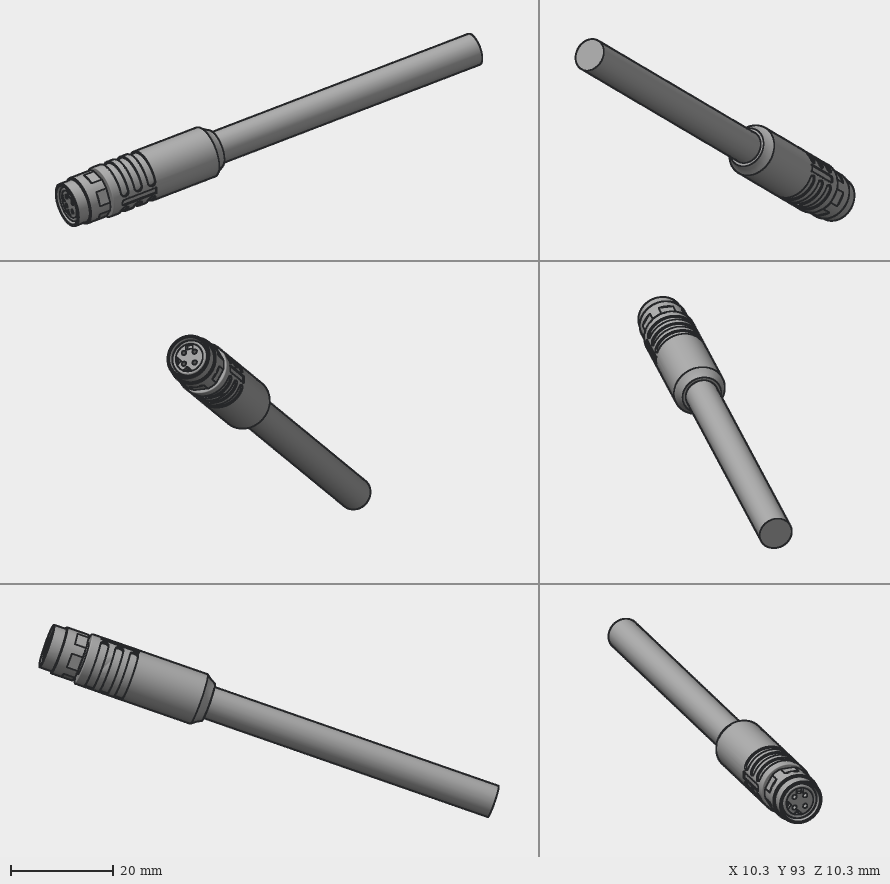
import cadquery as cq

total_length = 93.05
cable_dia = 6.5
neck_dia = cable_dia

collar_front = 2.5
flat_front = 4.7
collar_rear = 7.1
body_front = 7.6
shoulder = 31.7
body_rear = 33.7

nose_dia = 8.8
collar_dia = 9.6
body_dia = 10.3
tail_dia = 7.8
body_edge_round = 0.2
tail_flare = 0.1
collar_chamfer = 0.14
nose_chamfer = 0.1

mouth_dia = 8.0
bore_dia = 7.2
lead_in_depth = 0.8
insert_dia = 5.7
insert_depth = 0.6
bead_height = 0.23

contact_dia = 0.9
contact_pitch = 2.2
contact_depth = 2.8
coding_depth = 0.9
key_width = 1.4
key_floor = 1.8
notch_apex = 1.8
notch_offset = 0.5
notch_size = 0.8

flat_count = 6
flat_apothem = 4.6

groove_floor_dia = 9.7
groove_width = 1.7
groove_pitch = 3.1
groove_count = 3
first_groove = 10.4
groove_end = 1.3
side_slot_width = 1.4
side_slot_front = first_groove - groove_width / 2
side_slot_rear = first_groove + (groove_count - 1) * groove_pitch + groove_width / 2
side_slot_round = 0.6

outer_reach = body_dia


def block(x_range, y_range, z_range):
    """Box spanning the given (low, high) range on each axis."""
    ranges = (x_range, y_range, z_range)
    sizes = [high - low for low, high in ranges]
    middles = tuple((low + high) / 2 for low, high in ranges)
    return cq.Workplane("XY").box(*sizes).translate(middles)


def front_plane(y):
    """Plane facing the mouth side at station y: local x is X, local y is Z."""
    return cq.Workplane("XZ", origin=(0, y, 0))


def turned_solid():
    """Revolve the half section of cable, body, collar, nose and socket mouth."""
    bead_radius = (insert_dia + bore_dia) / 4
    half_section = (
        cq.Workplane("XY")
        .moveTo(0, insert_depth)
        .lineTo(insert_dia / 2, insert_depth)
        .threePointArc((bead_radius, insert_depth - bead_height), (bore_dia / 2, lead_in_depth))
        .lineTo(mouth_dia / 2, 0)
        .lineTo(nose_dia / 2 - nose_chamfer, 0)
        .lineTo(nose_dia / 2, nose_chamfer)
        .lineTo(nose_dia / 2, collar_front)
        .lineTo(collar_dia / 2 - collar_chamfer, collar_front)
        .lineTo(collar_dia / 2, collar_front + collar_chamfer)
        .lineTo(collar_dia / 2, collar_rear)
        .lineTo(neck_dia / 2, collar_rear)
        .lineTo(neck_dia / 2, body_front)
        .lineTo(body_dia / 2 - body_edge_round, body_front)
        .tangentArcPoint((body_dia / 2, body_front + body_edge_round), relative=False)
        .lineTo(body_dia / 2, shoulder)
        .sagittaArc((tail_dia / 2, body_rear), tail_flare)
        .lineTo(cable_dia / 2, body_rear)
        .lineTo(cable_dia / 2, total_length)
        .lineTo(0, total_length)
        .close()
    )
    return half_section.revolve(360, (0, 0, 0), (0, 1, 0))


def wrench_flats():
    """Six flats milled into the rear half of the collar."""
    half_width = collar_dia / 4
    flat = block((-half_width, half_width), (flat_front, collar_rear), (flat_apothem, collar_dia))
    flats = cq.Workplane("XY")
    for i in range(flat_count):
        flats = flats.add(flat.rotate((0, 0, 0), (0, 1, 0), i * 360 / flat_count))
    return flats.combine()


def grip_grooves():
    """Shallow round-ended grooves over the top and bottom, plus a flat slot on each side."""
    ring_length = side_slot_rear - side_slot_front
    ring = (
        front_plane(side_slot_rear)
        .circle(outer_reach)
        .circle(groove_floor_dia / 2)
        .extrude(ring_length)
    )
    half_groove = groove_width / 2
    upper = cq.Workplane("YZ", origin=(-outer_reach, 0, 0))
    outline = (
        upper.moveTo(-half_groove, outer_reach)
        .lineTo(-half_groove, groove_end + half_groove)
        .threePointArc((0, groove_end), (half_groove, groove_end + half_groove))
        .lineTo(half_groove, outer_reach)
        .close()
        .extrude(2 * outer_reach)
    )
    windows = cq.Workplane("XY")
    for i in range(groove_count):
        window = outline.translate((0, first_groove + i * groove_pitch, 0))
        windows = windows.add(window).add(window.mirror("XY"))
    grooves = ring.intersect(windows.combine())

    half_slot = side_slot_width / 2
    slot = block(
        (-outer_reach, -groove_floor_dia / 2),
        (side_slot_front, side_slot_rear),
        (-half_slot, half_slot),
    )
    slot = slot.edges("|X and <Y").fillet(side_slot_round)
    return grooves.union(slot).union(slot.mirror("YZ"))


def contact_holes():
    """Four blind contact holes on a square pattern."""
    return (
        front_plane(insert_depth + contact_depth)
        .rarray(contact_pitch, contact_pitch, 2, 2)
        .circle(contact_dia / 2)
        .extrude(contact_depth)
    )


def coding_recesses():
    """Key slot at the top of the insert and two V notches at its lower left."""
    back = front_plane(insert_depth + coding_depth)
    insert = back.circle(insert_dia / 2).extrude(coding_depth)
    half_key = key_width / 2
    key = block(
        (-half_key, half_key),
        (insert_depth, insert_depth + coding_depth),
        (key_floor, insert_dia),
    )
    notch_back = notch_apex + notch_size
    left_notch = (
        back.moveTo(-notch_apex, -notch_offset)
        .lineTo(-notch_back, notch_size - notch_offset)
        .lineTo(-notch_back, -notch_size - notch_offset)
        .close()
        .extrude(coding_depth)
    )
    lower_notch = left_notch.rotate((0, 0, 0), (0, 1, 0), -90).mirror("YZ")
    return insert.intersect(key.union(left_notch).union(lower_notch))


result = (
    turned_solid()
    .cut(wrench_flats())
    .cut(grip_grooves())
    .cut(contact_holes())
    .cut(coding_recesses())
)